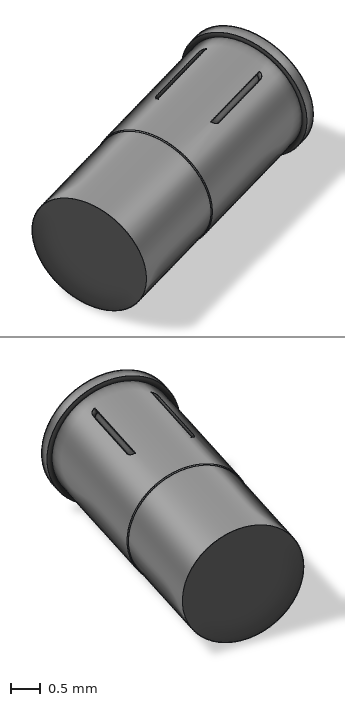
import cadquery as cq
import math

total_length = 5
flange_radius = 1.25
flange_length = 0.2
body_radius = 1.155
tip_radius = 1.14
tip_length = 2
step_bevel_length = 0.02

groove_length = 1.5
groove_width = 0.105
groove_depth = 0.12
groove_setback = 0.55
groove_tilt = math.degrees(math.asin(0.575 / body_radius))
cutter_top = flange_radius


def revolved_pin():
    flange_start = total_length - flange_length
    return (
        cq.Workplane("XY")
        .polyline([
            (0, 0),
            (tip_radius, 0),
            (tip_radius, tip_length),
            (body_radius, tip_length + step_bevel_length),
            (body_radius, flange_start),
            (flange_radius, flange_start),
            (flange_radius, total_length),
            (0, total_length),
        ])
        .close()
        .revolve(360, (0, 0, 0), (0, 1, 0))
    )


def groove_cutter(side):
    """Radial groove with its outer corners rounded; side is -1 for -X, 1 for +X."""
    inner_x = -side * groove_width / 2
    outer_x = side * groove_width / 2
    far_y = total_length - groove_setback
    near_y = far_y - groove_length
    arc_offset = groove_width * math.sqrt(0.5)
    arc_mid_x = inner_x + side * arc_offset
    floor_z = body_radius - groove_depth
    return (
        cq.Workplane("XY", origin=(0, 0, floor_z))
        .moveTo(inner_x, near_y)
        .lineTo(inner_x, far_y)
        .threePointArc(
            (arc_mid_x, far_y - groove_width + arc_offset),
            (outer_x, far_y - groove_width),
        )
        .lineTo(outer_x, near_y + groove_width)
        .threePointArc(
            (arc_mid_x, near_y + groove_width - arc_offset),
            (inner_x, near_y),
        )
        .close()
        .extrude(cutter_top - floor_z)
        .rotate((0, 0, 0), (0, 1, 0), side * groove_tilt)
    )


result = revolved_pin()
for side in (-1, 1):
    result = result.cut(groove_cutter(side))